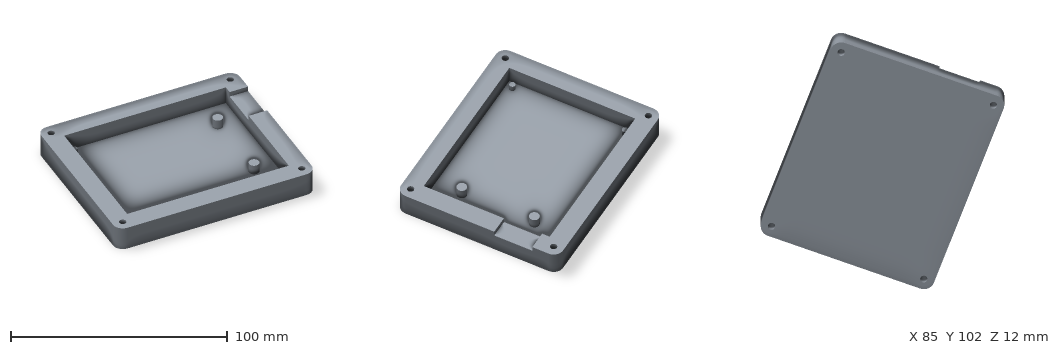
import cadquery as cq

LENGTH = 102.0
WIDTH = 85.0
HEIGHT = 12.0
CORNER_RADIUS = 5.0

SCREW_HOLE_DIAMETER = 3.4

WALL = 9.5
FLOOR = 3.0
POCKET_WIDTH = WIDTH - 2 * WALL
POCKET_LENGTH = LENGTH - 2 * WALL

NOTCH_WIDTH = 20.0
NOTCH_DEPTH = 2.5
NOTCH_FROM_POCKET_SIDE = 4.0

POST_DIAMETER = 5.0
POST_HEIGHT = 5.0
POST_SPACING = 38.0
POST_FROM_POCKET_END = 11.0
PIN_DIAMETER = 3.0
PIN_HEIGHT = 3.0
PIN_FROM_POCKET_WALL = 3.5


def make_body():
    """Plate with rounded vertical corners."""
    plate = cq.Workplane("XY").box(WIDTH, LENGTH, HEIGHT, centered=(True, True, False))
    return plate.edges("|Z").fillet(CORNER_RADIUS)


def make_screw_holes():
    """Cutters for the four through holes."""
    spacing_x = WIDTH - 2 * CORNER_RADIUS
    spacing_y = LENGTH - 2 * CORNER_RADIUS
    return (
        cq.Workplane("XY")
        .rarray(spacing_x, spacing_y, 2, 2)
        .circle(SCREW_HOLE_DIAMETER / 2)
        .extrude(HEIGHT)
    )


def make_pocket():
    """Cutter for the pocket above the floor."""
    return (
        cq.Workplane("XY", origin=(0, 0, FLOOR))
        .rect(POCKET_WIDTH, POCKET_LENGTH)
        .extrude(HEIGHT - FLOOR)
    )


def make_notch():
    """Cutter that opens the pocket through the top of the +Y wall."""
    left = -POCKET_WIDTH / 2 + NOTCH_FROM_POCKET_SIDE
    return cq.Workplane("XY").box(NOTCH_WIDTH, WALL, NOTCH_DEPTH, centered=False).translate(
        (left, POCKET_LENGTH / 2, HEIGHT - NOTCH_DEPTH)
    )


def make_pillar_pair(diameter, height, spacing, y):
    """Two round pillars rooted in the floor, mirrored about the YZ plane."""
    return (
        cq.Workplane("XY", origin=(0, y, 0))
        .pushPoints([(-spacing / 2, 0), (spacing / 2, 0)])
        .circle(diameter / 2)
        .extrude(FLOOR + height)
    )


post_y = POCKET_LENGTH / 2 - POST_FROM_POCKET_END
pin_y = -POCKET_LENGTH / 2 + PIN_FROM_POCKET_WALL
pin_spacing = POCKET_WIDTH - 2 * PIN_FROM_POCKET_WALL

result = (
    make_body()
    .cut(make_screw_holes())
    .cut(make_pocket())
    .cut(make_notch())
    .union(make_pillar_pair(POST_DIAMETER, POST_HEIGHT, POST_SPACING, post_y))
    .union(make_pillar_pair(PIN_DIAMETER, PIN_HEIGHT, pin_spacing, pin_y))
)